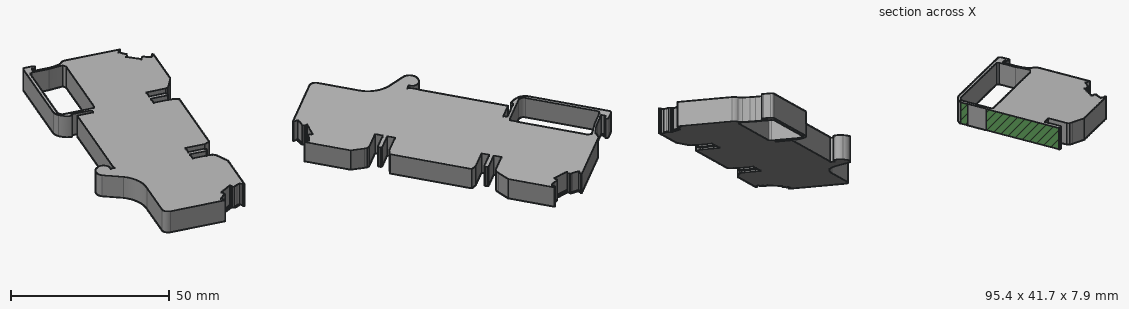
import cadquery as cq

length = 95.35
height = 41.7
thickness = 7.9

mirror_x = 47.9

middle_top = 40.0
shoulder_y = 38.2
slot_floor = 31.7
post_top = 37.7

left_wall = 0.4
block_top_end = 21.9
slot_left = 27.1
post_left = 29.7
post_right = 31.1
slot_right = 33.7
middle_top_start = 34.4
post_round = 0.4

body_bottom = 6.4

hook_tip_y = 4.1
hook_notch_y = 2.7
hook_notch_left = 1.2
hook_slope_end = (1.5, 3.2)
flex_wall_x = 2.7
hook_round = 0.8
heel_radius = 0.9

spring_left = 30.9
spring_right = 32.2
spring_top = 11.8
spring_round = 0.6
latch_y = 5.0
latch_x = 31.75
latch_bend = (29.8, 1.0)
bar_end_x = 27.6

window_bottom = 1.1
window_top = 13.3
window_left = 3.4
window_right = 29.8
window_round = 0.8
window_corner = 1.7
window_heel = 0.5
window_top_left = (3.0, 12.6)
window_top_start = 4.0
window_bend_y = 7.6

wing_bottom = 12.0
wing_corner_x = 93.3
wing_corner_y = 14.1
sweep_start_x = 79.7
sweep_end = (71.1, 7.3)

foot_side = (67.9, 1.3)
foot_heel = (63.1, 1.5)
foot_neck_x = 65.2
foot_top_y = 5.2
neck_relief = 0.3
relief_start_x = 63.7

corner_ledge = 0.6
thin_ledge = 0.3


def mirrored(points):
    """Reflect points about the symmetry line of the upper edge."""
    return [(2 * mirror_x - x, y) for x, y in points]


corner_recess = [
    (left_wall, 32.6),
    (0.7, 32.8),
    (1.7, 31.7),
    (3.3, 33.2),
    (3.7, 33.85),
    (4.3, 33.6),
    (4.9, 33.6),
    (5.15, 33.0),
    (8.1, 37.1),
    (7.7, 37.4),
    (7.15, 37.6),
    (6.9, 38.1),
    (7.6, 39.3),
    (8.0, 40.4),
    (7.4, 41.0),
    (6.9, 41.1),
    (6.6, 41.4),
    (6.9, height),
]

block_and_slot = [
    (block_top_end, height),
    (25.8, 39.6),
    (26.7, 39.0),
    (slot_left, shoulder_y),
    (slot_left, slot_floor),
    (post_left, slot_floor),
    (post_left, post_top - post_round),
    (post_left + post_round, post_top),
    (post_right - post_round, post_top),
    (post_right, post_top - post_round),
    (post_right, slot_floor),
    (slot_right, slot_floor),
    (slot_right, shoulder_y),
    (middle_top_start, middle_top),
]

corner_ledges = [
    ([(5.15, 33.0), (8.1, 37.1), (7.7, 37.4), (7.15, 37.0), (4.9, 33.6)], corner_ledge),
    ([(1.7, 31.7), (3.3, 33.2), (3.7, 33.85), (1.4, 31.9)], thin_ledge),
    ([(6.9, 38.1), (7.6, 39.3), (8.0, 40.4), (7.15, 39.3)], thin_ledge),
]
hook_ledge = [
    (hook_notch_left, hook_notch_y),
    (flex_wall_x, hook_notch_y),
    (flex_wall_x, hook_slope_end[1]),
    (hook_notch_left, hook_slope_end[1]),
]


def prism(points, depth):
    return cq.Workplane("XY").polyline(points).close().extrude(depth)


def add_right_wing(outline):
    """Rounded wing corner, then the sweep down to the foot."""
    return (
        outline.lineTo(length, wing_corner_y)
        .threePointArc((94.7, 12.6), (wing_corner_x, wing_bottom))
        .lineTo(sweep_start_x, wing_bottom)
        .threePointArc((74.6, 10.7), sweep_end)
        .lineTo(*foot_side)
    )


def add_foot(outline):
    """Round foot, its neck and the relief where it meets the underside."""
    return (
        outline.threePointArc((65.6, 0.2), foot_heel)
        .threePointArc((62.8, 4.2), (foot_neck_x - 0.6, foot_top_y))
        .lineTo(foot_neck_x, foot_top_y)
        .lineTo(foot_neck_x, body_bottom + neck_relief)
        .threePointArc((64.6, 6.5), (relief_start_x, body_bottom))
    )


def add_spring_slot(outline):
    """Body underside, slot beside the window and the curved latch."""
    return (
        outline.lineTo(spring_right, body_bottom)
        .lineTo(spring_right, spring_top)
        .lineTo(spring_left + spring_round, spring_top)
        .radiusArc((spring_left, spring_top - spring_round), -spring_round)
        .lineTo(spring_left, latch_y)
        .lineTo(latch_x, latch_y)
        .threePointArc((31.2, 2.8), latch_bend)
        .threePointArc((28.8, 0.3), (bar_end_x, 0))
    )


def add_hook(outline):
    """Bottom bar, ending in an upturned hook with a notch behind it."""
    return (
        outline.lineTo(heel_radius, 0)
        .radiusArc((0, heel_radius), heel_radius)
        .lineTo(0, hook_tip_y - hook_round)
        .radiusArc((hook_round, hook_tip_y), hook_round)
        .lineTo(*hook_slope_end)
        .lineTo(hook_notch_left, 3.05)
        .lineTo(hook_notch_left, hook_notch_y)
        .lineTo(flex_wall_x, hook_notch_y)
    )


def add_flexing_wall(outline):
    """Thin curved wall from the hook up to the side wall."""
    return (
        outline.lineTo(flex_wall_x, 7.15)
        .threePointArc((2.7, 8.1), (2.6, 9.0))
        .threePointArc((2.4, 10.1), (2.1, 11.25))
        .threePointArc((1.8, 11.9), (1.3, 12.5))
        .threePointArc((0.7, 13.3), (left_wall, 14.2))
    )


def plate():
    left_edge = corner_recess + block_and_slot
    right_edge = mirrored(left_edge)[::-1]
    outline = cq.Workplane("XY").polyline(left_edge + right_edge)
    outline = add_right_wing(outline)
    outline = add_foot(outline)
    outline = add_spring_slot(outline)
    outline = add_hook(outline)
    outline = add_flexing_wall(outline)
    return outline.close().extrude(thickness)


def window():
    return (
        cq.Workplane("XY")
        .moveTo(window_left + window_heel, window_bottom)
        .lineTo(window_right - window_corner, window_bottom)
        .radiusArc((window_right, window_bottom + window_corner), -window_corner)
        .lineTo(window_right, window_top - window_round)
        .radiusArc((window_right - window_round, window_top), -window_round)
        .lineTo(window_top_start, window_top)
        .lineTo(*window_top_left)
        .threePointArc((3.1, 10.1), (window_left, window_bend_y))
        .lineTo(window_left, window_bottom + window_round)
        .close()
        .extrude(thickness)
    )


result = plate().cut(window()).union(prism(hook_ledge, thin_ledge))
for region, ledge_height in corner_ledges:
    result = result.union(prism(region, ledge_height))
    result = result.union(prism(mirrored(region), ledge_height))